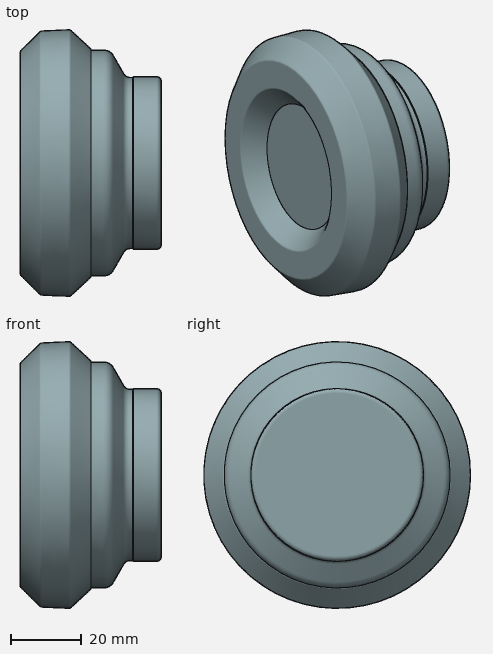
import cadquery as cq
import math


RING_RADIUS = 37.8
RING_LENGTH = 20.1
FRONT_RIM_RADIUS = 31.65
FRONT_BEVEL_LENGTH = 5.8
TREAD_DRAFT = math.radians(2.6)
REAR_BEVEL_START = 14.1
REAR_BEVEL_ANGLE = math.radians(42.8)
MOUTH_RADIUS = 23.4
BORE_RADIUS = 18.1
DISH_DEPTH = 5.45
EDGE_ROUND = 0.75
REAR_EDGE_ROUND = 0.4

HUB_END = 40.0
FLANGE_RADIUS = 64.0 / 2
FLANGE_ROUND_START = 23.7
FLANGE_ROUND = 3.0
NECK_RADIUS = 48.6 / 2
NECK_ROUND = 2.0
COLLAR_RADIUS = 49.0 / 2
COLLAR_START = 32.0
COLLAR_ROUND = 1.35
SHOULDER_ANGLE = math.radians(60)


def revolve_about_x(profile):
    return profile.close().revolve(360, (0, 0, 0), (1, 0, 0))


def circle_edges_at(x, radius):
    """Selector box around the full circular edge at one position and radius."""
    margin = 0.01
    reach = radius + margin
    return cq.selectors.BoxSelector(
        (x - margin, -reach, -reach), (x + margin, reach, reach), boundingbox=True
    )


def round_edge(body, x, radius, size):
    """Fillet one circular edge, leaving any smaller circles in the same plane sharp."""
    radial_clearance = 0.1
    inner = circle_edges_at(x, radius - radial_clearance)
    return body.edges(circle_edges_at(x, radius) - inner).fillet(size)


def make_ring():
    half_turn = (REAR_BEVEL_ANGLE + TREAD_DRAFT) / 2
    crest_ratio = math.cos(half_turn - TREAD_DRAFT) / math.cos(half_turn)
    crest_radius = RING_RADIUS + EDGE_ROUND * (crest_ratio - 1)
    front_tread_radius = crest_radius - (REAR_BEVEL_START - FRONT_BEVEL_LENGTH) * math.tan(TREAD_DRAFT)
    rear_rim_radius = crest_radius - (RING_LENGTH - REAR_BEVEL_START) * math.tan(REAR_BEVEL_ANGLE)

    profile = (
        cq.Workplane("XY")
        .moveTo(0, MOUTH_RADIUS)
        .lineTo(0, FRONT_RIM_RADIUS)
        .lineTo(FRONT_BEVEL_LENGTH, front_tread_radius)
        .lineTo(REAR_BEVEL_START, crest_radius)
        .lineTo(RING_LENGTH, rear_rim_radius)
        .lineTo(RING_LENGTH, BORE_RADIUS)
        .lineTo(DISH_DEPTH, BORE_RADIUS)
    )
    ring = revolve_about_x(profile)
    ring = round_edge(ring, 0, MOUTH_RADIUS, EDGE_ROUND)
    ring = round_edge(ring, 0, FRONT_RIM_RADIUS, EDGE_ROUND)
    ring = round_edge(ring, FRONT_BEVEL_LENGTH, front_tread_radius, EDGE_ROUND)
    ring = round_edge(ring, REAR_BEVEL_START, crest_radius, EDGE_ROUND)
    return round_edge(ring, RING_LENGTH, rear_rim_radius, REAR_EDGE_ROUND)


def arc_point(center, radius, angle):
    """Point on a circle, with the angle measured from +Y toward +X."""
    return (center[0] + radius * math.sin(angle), center[1] + radius * math.cos(angle))


def make_hub():
    flange_center = (FLANGE_ROUND_START, FLANGE_RADIUS - FLANGE_ROUND)
    shoulder_top = arc_point(flange_center, FLANGE_ROUND, SHOULDER_ANGLE)

    neck_center_radius = NECK_RADIUS + NECK_ROUND
    shoulder_foot_radius = neck_center_radius - NECK_ROUND * math.cos(SHOULDER_ANGLE)
    shoulder_length = (shoulder_top[1] - shoulder_foot_radius) / math.tan(SHOULDER_ANGLE)
    shoulder_foot_x = shoulder_top[0] + shoulder_length
    neck_center = (shoulder_foot_x + NECK_ROUND * math.sin(SHOULDER_ANGLE), neck_center_radius)

    collar_step = COLLAR_RADIUS - NECK_RADIUS
    profile = (
        cq.Workplane("XY")
        .moveTo(DISH_DEPTH, 0)
        .lineTo(DISH_DEPTH, BORE_RADIUS)
        .lineTo(RING_LENGTH, BORE_RADIUS)
        .lineTo(RING_LENGTH, FLANGE_RADIUS)
        .lineTo(FLANGE_ROUND_START, FLANGE_RADIUS)
        .threePointArc(arc_point(flange_center, FLANGE_ROUND, SHOULDER_ANGLE / 2), shoulder_top)
        .lineTo(shoulder_foot_x, shoulder_foot_radius)
        .threePointArc(
            arc_point(neck_center, -NECK_ROUND, SHOULDER_ANGLE / 2),
            (neck_center[0], NECK_RADIUS),
        )
        .lineTo(COLLAR_START - collar_step, NECK_RADIUS)
        .lineTo(COLLAR_START, COLLAR_RADIUS)
        .lineTo(HUB_END, COLLAR_RADIUS)
        .lineTo(HUB_END, 0)
    )
    return round_edge(revolve_about_x(profile), HUB_END, COLLAR_RADIUS, COLLAR_ROUND)


ring = make_ring()
hub = make_hub()
result = cq.Compound.makeCompound([ring.val(), hub.val()])